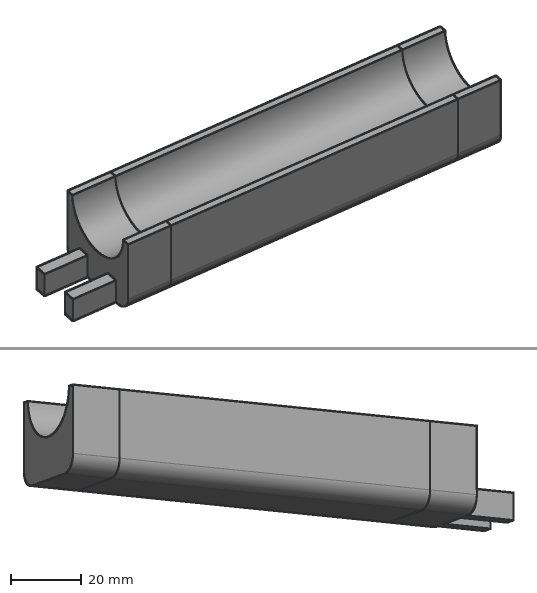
import cadquery as cq

width = 30.0
height = 25.0
channel_radius = 12.5
corner_radius = 5.0

middle_length = 100.0
end_length = 15.0

prong_length = 15.0
prong_width = 4.0
prong_height = 8.0
prong_spacing = 14.0


def trough(start_y, length):
    """Trough section with rounded bottom edges, running from start_y towards +Y."""
    block = (
        cq.Workplane("XY")
        .box(width, length, height, centered=(True, False, False))
        .edges("|Y and <Z")
        .fillet(corner_radius)
    )
    channel = (
        cq.Workplane("XZ")
        .center(0, height)
        .circle(channel_radius)
        .extrude(-length)
    )
    return block.cut(channel).translate((0, start_y, 0))


def prong(center_x):
    """Flat prong reaching forward (-Y) from the front face, level with the underside."""
    return (
        cq.Workplane("XY")
        .box(prong_width, prong_length, prong_height, centered=(True, False, False))
        .translate((center_x, -prong_length, 0))
    )


front_end = trough(0, end_length)
for side in (-1, 1):
    front_end = front_end.union(prong(side * prong_spacing / 2))

middle = trough(end_length, middle_length)
back_end = trough(end_length + middle_length, end_length)

result = cq.Compound.makeCompound([front_end.val(), middle.val(), back_end.val()])